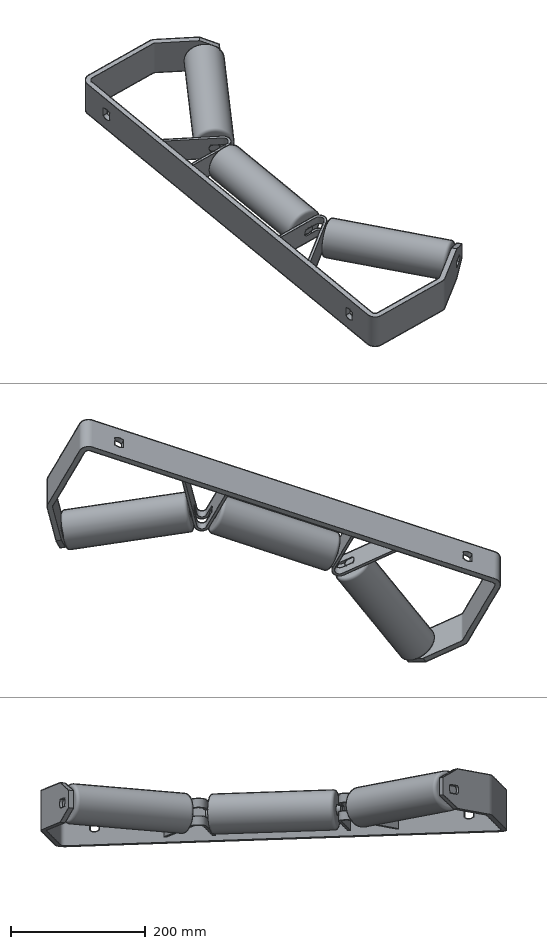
import cadquery as cq
import math

FRAME_LENGTH = 680.0
FRAME_DEPTH = 217.5
STRIP_HEIGHT = 60.0
STRIP_THICKNESS = 8.0
FRAME_BEND_RADIUS = 14.0
ELBOW_Y = 135.0
LEAN_ANGLE = 35.0
ARM_TIP_HEIGHT = 26.5
ARM_TAPER_LENGTH = 30.0

MOUNTING_HOLE_HEIGHT = 20.5
MOUNTING_HOLE_WIDTH = 14.0
MOUNTING_HOLE_X = 282.0

ROLLER_LEVEL = -2.0
ROLLER_DIAMETER = 60.0
ROLLER_LENGTH = 190.5
ROLLER_EDGE_RADIUS = 5.0
MIDDLE_ROLLER_Y = 71.0
SIDE_AXIS_FROM_TIP = 24.0
SHAFT_DIAMETER = 16.0
SHAFT_FLATS = 11.5
SHAFT_LENGTH = 204.0
SHAFT_COLLAR = 2.0

SHAFT_HOLE_LENGTH = 19.0
SHAFT_HOLE_HEIGHT = 13.0
SHAFT_HOLE_SHIFT = (SHAFT_HOLE_LENGTH - SHAFT_DIAMETER) / 2
SHAFT_HOLE_REACH = 224.5

BRACKET_FACE_X = 100.0
BRACKET_TOP_Y = 95.0
BRACKET_THICKNESS = 4.0
BRACKET_BEND_RADIUS = 11.5
BRACKET_HEIGHT = 40.0

LEAN_SIN = math.sin(math.radians(LEAN_ANGLE))
LEAN_COS = math.cos(math.radians(LEAN_ANGLE))
HALF_LENGTH = FRAME_LENGTH / 2
ARM_TIP_X = HALF_LENGTH - (FRAME_DEPTH - ELBOW_Y) * LEAN_SIN / LEAN_COS
INNER_X = HALF_LENGTH - STRIP_THICKNESS
INNER_ELBOW_Y = ELBOW_Y - STRIP_THICKNESS * math.tan(math.radians(LEAN_ANGLE / 2))

BEND_X = BRACKET_FACE_X + BRACKET_BEND_RADIUS
BEND_Y = BRACKET_TOP_Y - BRACKET_BEND_RADIUS

ARM_FACE = INNER_X * LEAN_COS + INNER_ELBOW_Y * LEAN_SIN
BRACKET_SLOPE_FACE = BEND_X * LEAN_COS + BEND_Y * LEAN_SIN + BRACKET_BEND_RADIUS
SIDE_ROLLER_TO_ARM = (ARM_FACE - BRACKET_SLOPE_FACE) / 2 + STRIP_THICKNESS
SIDE_ROLLER_X = ARM_TIP_X + SIDE_AXIS_FROM_TIP * LEAN_SIN - SIDE_ROLLER_TO_ARM * LEAN_COS
SIDE_ROLLER_Y = FRAME_DEPTH - SIDE_AXIS_FROM_TIP * LEAN_COS - SIDE_ROLLER_TO_ARM * LEAN_SIN


def flatted_bar(diameter, across_flats, length):
    """Bar along X, round with flats on top and bottom, centred on the origin."""
    bar = cq.Workplane("YZ").circle(diameter / 2).extrude(length / 2, both=True)
    return bar.intersect(cq.Workplane("XY").box(length, diameter, across_flats))


def at_middle_roller(body):
    return body.translate((0, MIDDLE_ROLLER_Y, ROLLER_LEVEL))


def at_side_roller(body, side):
    leaning = body.rotate((0, 0, 0), (0, 0, 1), side * LEAN_ANGLE)
    return leaning.translate((side * SIDE_ROLLER_X, SIDE_ROLLER_Y, ROLLER_LEVEL))


def make_shaft_hole():
    """Cutter for the holes at both ends of a roller whose axis lies along X."""
    hole = flatted_bar(SHAFT_HOLE_LENGTH, SHAFT_HOLE_HEIGHT, SHAFT_HOLE_REACH)
    return hole.translate((0, SHAFT_HOLE_SHIFT, 0))


def make_half_strip():
    """The +X half of the bent strip, with rounded bends."""
    strip = (
        cq.Workplane("XY")
        .polyline([
            (0, 0),
            (HALF_LENGTH, 0),
            (HALF_LENGTH, ELBOW_Y),
            (ARM_TIP_X, FRAME_DEPTH),
            (ARM_TIP_X - STRIP_THICKNESS * LEAN_COS, FRAME_DEPTH - STRIP_THICKNESS * LEAN_SIN),
            (INNER_X, INNER_ELBOW_Y),
            (INNER_X, STRIP_THICKNESS),
            (0, STRIP_THICKNESS),
        ])
        .close()
        .extrude(STRIP_HEIGHT / 2, both=True)
    )
    inner_radius = FRAME_BEND_RADIUS - STRIP_THICKNESS
    bends = [
        (HALF_LENGTH, 0, FRAME_BEND_RADIUS),
        (HALF_LENGTH, ELBOW_Y, FRAME_BEND_RADIUS),
        (INNER_X, STRIP_THICKNESS, inner_radius),
        (INNER_X, INNER_ELBOW_Y, inner_radius),
    ]
    for x, y, radius in bends:
        strip = strip.edges("|Z").edges(cq.NearestToPointSelector((x, y, 0))).fillet(radius)
    return strip


def make_arm_taper():
    """Cutter for the two sloping corners of the +X arm tip."""
    arm_plane = cq.Plane(
        origin=(ARM_TIP_X, FRAME_DEPTH, 0),
        xDir=(-LEAN_SIN, LEAN_COS, 0),
        normal=(LEAN_COS, LEAN_SIN, 0),
    )
    upper = (
        cq.Workplane(arm_plane)
        .polyline([
            (0, ARM_TIP_HEIGHT / 2),
            (0, STRIP_HEIGHT / 2),
            (-ARM_TAPER_LENGTH, STRIP_HEIGHT / 2),
        ])
        .close()
        .extrude(-STRIP_THICKNESS)
    )
    return upper.union(upper.mirror("XY"))


def make_mounting_hole():
    """Cutter through the base, with the flats on its X sides."""
    hole = flatted_bar(MOUNTING_HOLE_HEIGHT, MOUNTING_HOLE_WIDTH, 2 * STRIP_THICKNESS)
    upright = hole.rotate((0, 0, 0), (1, 0, 0), 90).rotate((0, 0, 0), (0, 0, 1), 90)
    return upright.translate((MOUNTING_HOLE_X, STRIP_THICKNESS / 2, 0))


def make_frame():
    half = make_half_strip().cut(make_arm_taper()).cut(make_mounting_hole())
    half = half.cut(at_side_roller(make_shaft_hole(), 1))
    return half.union(half.mirror("YZ"))


def make_bend_slot():
    """Cutter over the +X bracket's bend, joining its two shaft holes along the roller axes."""
    axes_meet_x = SIDE_ROLLER_X - (SIDE_ROLLER_Y - MIDDLE_ROLLER_Y) * LEAN_COS / LEAN_SIN
    return (
        cq.Workplane("XY", origin=(0, 0, ROLLER_LEVEL))
        .polyline([
            (0, MIDDLE_ROLLER_Y),
            (axes_meet_x, MIDDLE_ROLLER_Y),
            (SIDE_ROLLER_X, SIDE_ROLLER_Y),
            (0, SIDE_ROLLER_Y),
        ])
        .close()
        .extrude(SHAFT_HOLE_HEIGHT / 2, both=True)
    )


def make_bracket(side):
    """Bracket standing on the base: an upright leg, a bend and a leg sloping away outward."""
    inner_radius = BRACKET_BEND_RADIUS - BRACKET_THICKNESS
    outer_bend_end = (BEND_X + BRACKET_BEND_RADIUS * LEAN_COS, BEND_Y + BRACKET_BEND_RADIUS * LEAN_SIN)
    inner_bend_end = (BEND_X + inner_radius * LEAN_COS, BEND_Y + inner_radius * LEAN_SIN)
    drop = inner_bend_end[1] - STRIP_THICKNESS
    run = drop * LEAN_SIN / LEAN_COS
    bracket = (
        cq.Workplane("XY", origin=(0, 0, ROLLER_LEVEL))
        .moveTo(BRACKET_FACE_X, STRIP_THICKNESS)
        .lineTo(BRACKET_FACE_X, BEND_Y)
        .threePointArc((BEND_X, BRACKET_TOP_Y), outer_bend_end)
        .line(run, -drop)
        .lineTo(inner_bend_end[0] + run, STRIP_THICKNESS)
        .lineTo(*inner_bend_end)
        .threePointArc((BEND_X, BEND_Y + inner_radius), (BEND_X - inner_radius, BEND_Y))
        .lineTo(BEND_X - inner_radius, STRIP_THICKNESS)
        .close()
        .extrude(BRACKET_HEIGHT / 2, both=True)
    )
    bracket = bracket.cut(at_middle_roller(make_shaft_hole()))
    bracket = bracket.cut(at_side_roller(make_shaft_hole(), 1))
    bracket = bracket.cut(make_bend_slot())
    if side < 0:
        bracket = bracket.mirror("YZ")
    return bracket


def make_roller():
    """Roller with its shaft along X, centred on the origin."""
    shell = (
        cq.Workplane("YZ", origin=(-ROLLER_LENGTH / 2, 0, 0))
        .circle(ROLLER_DIAMETER / 2)
        .extrude(ROLLER_LENGTH)
        .edges()
        .fillet(ROLLER_EDGE_RADIUS)
    )
    collar_length = ROLLER_LENGTH + 2 * SHAFT_COLLAR
    collars = cq.Workplane("YZ").circle(SHAFT_DIAMETER / 2).extrude(collar_length / 2, both=True)
    shaft_ends = flatted_bar(SHAFT_DIAMETER, SHAFT_FLATS, SHAFT_LENGTH)
    return shell.union(collars).union(shaft_ends)


frame = make_frame().solids()
middle_roller = at_middle_roller(make_roller()).solids()
brackets = []
side_rollers = []
for side in (-1, 1):
    brackets.append(make_bracket(side).solids().val())
    side_rollers.append(at_side_roller(make_roller(), side).solids().val())

result = cq.Compound.makeCompound([frame.val(), middle_roller.val(), *brackets, *side_rollers])